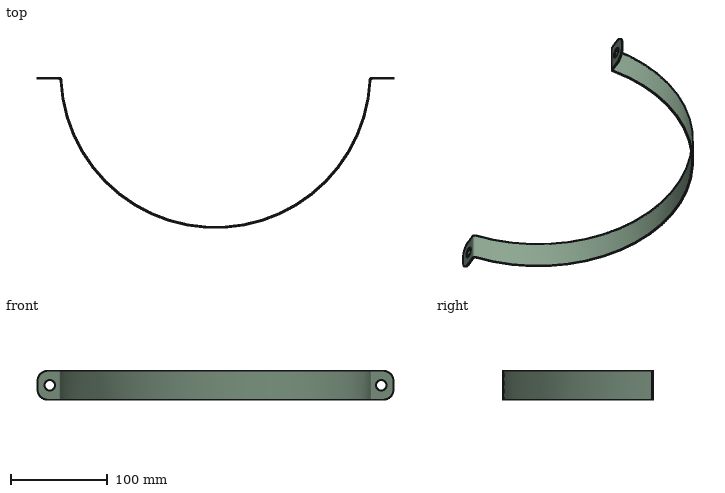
import cadquery as cq
import math

length = 368.0
depth = 155.2
width = 30.0

thickness = 1.3
outer_radius = 160.5
inner_bend_radius = 1.3
outer_bend_radius = inner_bend_radius + thickness

tab_corner_radius = 11.0
hole_diameter = 10.5
hole_edge_distance = 13.0

inner_radius = outer_radius - thickness
center_y = outer_radius - depth
tab_front_y = -thickness
half_length = length / 2


def arc_x(radius, y):
    """Positive X of the band circle of the given radius at the given Y."""
    return math.sqrt(radius**2 - (y - center_y) ** 2)


def make_strap():
    """Extrude the band together with its two straight tabs."""
    outer_x = arc_x(outer_radius, tab_front_y)
    inner_x = arc_x(inner_radius, 0)
    profile = (
        cq.Workplane("XY")
        .moveTo(-half_length, 0)
        .lineTo(-inner_x, 0)
        .threePointArc((0, center_y - inner_radius), (inner_x, 0))
        .lineTo(half_length, 0)
        .lineTo(half_length, tab_front_y)
        .lineTo(outer_x, tab_front_y)
        .threePointArc((0, -depth), (-outer_x, tab_front_y))
        .lineTo(-half_length, tab_front_y)
        .close()
    )
    strap = profile.extrude(width / 2, both=True)
    strap = round_bends(strap, inner_x, 0, outer_bend_radius)
    return round_bends(strap, outer_x, tab_front_y, inner_bend_radius)


def round_bends(strap, x, y, radius):
    """Round the vertical edges at (x, y) and (-x, y)."""
    for edge_x in (-x, x):
        edge = cq.selectors.NearestToPointSelector((edge_x, y, 0))
        strap = strap.edges("|Z").edges(edge).fillet(radius)
    return strap


def round_tab_corners(strap):
    """Round the free corners of both tabs."""
    return strap.faces("<X or >X").edges("|Y").fillet(tab_corner_radius)


def cut_tab_holes(strap):
    """Drill one hole through the middle of each tab."""
    hole_x = half_length - hole_edge_distance
    drill = (
        cq.Workplane("XZ")
        .pushPoints([(-hole_x, 0), (hole_x, 0)])
        .circle(hole_diameter / 2)
        .extrude(thickness)
    )
    return strap.cut(drill)


result = cut_tab_holes(round_tab_corners(make_strap()))